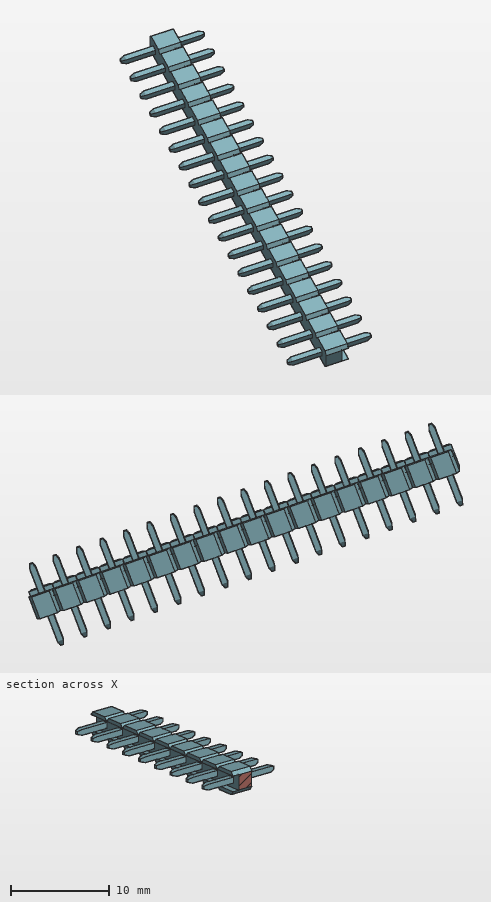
import cadquery as cq

pin_count = 18
housing_length = 45.7
pitch = housing_length / pin_count

housing_height = 2.5
housing_depth = 2.45
notch_depth = 0.4
notch_half_width = 0.3

slot_depth = 0.75
slot_clearance = 0.01
slot_height = housing_height - 2 * notch_depth + 2 * slot_clearance

pin_width = 0.65
tip_width = 0.3
tip_length = 0.5
pin_length = 9.2
pin_offset_x = -0.1
back_reach = 3.0

housing_back = pin_length / 2 - back_reach


def make_cell(center_x):
    """One octagonal housing cell; neighbouring chamfers form the V notches."""
    half_width = pitch / 2
    half_height = housing_height / 2
    half_flat = half_width - notch_half_width
    half_side = half_height - notch_depth
    return (
        cq.Workplane("XZ", origin=(center_x, housing_back, 0))
        .moveTo(-half_flat, half_height)
        .lineTo(half_flat, half_height)
        .lineTo(half_width, half_side)
        .lineTo(half_width, -half_side)
        .lineTo(half_flat, -half_height)
        .lineTo(-half_flat, -half_height)
        .lineTo(-half_width, -half_side)
        .lineTo(-half_width, half_side)
        .close()
        .extrude(housing_depth)
    )


def make_slot():
    """Cutter for the slot that runs the whole length of the back face."""
    return cq.Workplane("XY").box(housing_length, slot_depth, slot_height).translate(
        (0, housing_back - slot_depth / 2, 0)
    )


def make_tip(center_x, direction):
    """Tapered pin end pointing along +Y (direction 1) or -Y (direction -1)."""
    base_y = direction * (pin_length / 2 - tip_length)
    base = cq.Plane(origin=(center_x, base_y, 0), xDir=(1, 0, 0), normal=(0, direction, 0))
    return (
        cq.Workplane(base)
        .rect(pin_width, pin_width)
        .workplane(offset=tip_length)
        .rect(tip_width, tip_width)
        .loft(ruled=True)
    )


def make_pin(center_x):
    """Square pin with both ends tapered."""
    shank = cq.Workplane("XY").box(pin_width, pin_length - 2 * tip_length, pin_width)
    pin = shank.translate((center_x, 0, 0))
    for direction in (1, -1):
        pin = pin.union(make_tip(center_x, direction))
    return pin


cell_centers = [(index - (pin_count - 1) / 2) * pitch for index in range(pin_count)]

housing = make_cell(cell_centers[0])
for cell_x in cell_centers[1:]:
    housing = housing.union(make_cell(cell_x))
housing = housing.clean().cut(make_slot())

result = housing
for cell_x in cell_centers:
    result = result.union(make_pin(cell_x + pin_offset_x))